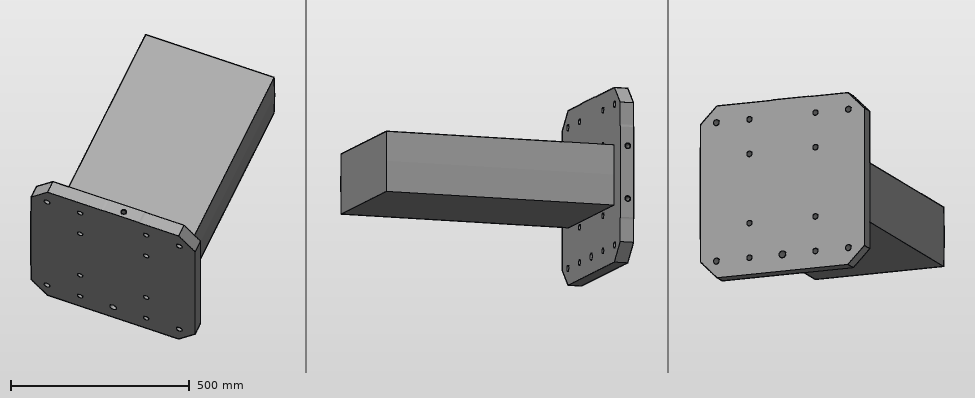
import cadquery as cq
import math

overall_length = 714.0
plate_size = 498.0
plate_thickness = 40.0
corner_chamfer = 50.0
pad_height = 1.0
edge_half = (plate_size - pad_height) / 2
pad_face = edge_half + pad_height

beam_width = 393.0
beam_height = 171.5
ridge_height = 1.8
beam_length = overall_length - plate_thickness

grid_pitch = 100.0
bolt_diameter = 17.0
inner_diameter = 16.0
center_diameter = 20.0

edge_hole_diameter = 13.5
countersink_diameter = 16.5
countersink_depth = (countersink_diameter - edge_hole_diameter) / 2
edge_hole_depth = 36.0
edge_hole_y = 18.0
top_hole_x = 25.0
side_hole_z = 75.0
pad_margin = 61.0
pad_fillet = 25.0
pad_root = 7.0
pad_ramp = math.sqrt(2 * pad_fillet * pad_height - pad_height**2)


def make_plate():
    blank = cq.Workplane("XY").box(2 * edge_half, plate_thickness, 2 * edge_half)
    return blank.translate((0, plate_thickness / 2, 0)).edges("|Y").chamfer(corner_chamfer)


def make_beam():
    flat_half = beam_width / 2 - ridge_height
    section = [
        (-flat_half, beam_height / 2),
        (flat_half, beam_height / 2),
        (beam_width / 2, 0),
        (flat_half, -beam_height / 2),
        (-flat_half, -beam_height / 2),
        (-beam_width / 2, 0),
    ]
    beam = cq.Workplane("XZ").polyline(section).close().extrude(-beam_length)
    return beam.translate((0, plate_thickness, 0))


def make_top_pad(center, half_length):
    """Raised pad with concave ends on the top edge of the plate."""
    root = edge_half - pad_root
    left = center - half_length
    right = center + half_length
    half_angle = math.asin(pad_ramp / pad_fillet) / 2
    mid_x = pad_fillet * math.sin(half_angle)
    mid_z = edge_half + pad_fillet * (1 - math.cos(half_angle))
    return (
        cq.Workplane("XZ")
        .moveTo(left, root)
        .lineTo(left, edge_half)
        .threePointArc((left + mid_x, mid_z), (left + pad_ramp, pad_face))
        .lineTo(right - pad_ramp, pad_face)
        .threePointArc((right - mid_x, mid_z), (right, edge_half))
        .lineTo(right, root)
        .close()
        .extrude(-plate_thickness)
    )


def turn_to_side(body):
    """Turn a top-edge feature about Y onto the -X edge."""
    return body.rotate((0, 0, 0), (0, 1, 0), -90)


def drill_plate(body, points, diameter):
    drills = cq.Workplane("XZ").pushPoints(points).circle(diameter / 2).extrude(-plate_thickness)
    return body.cut(drills)


def make_edge_drill(x):
    """Countersunk blind hole tool entering the top pad at the given X."""
    profile = [
        (0, 0),
        (countersink_diameter / 2, 0),
        (edge_hole_diameter / 2, -countersink_depth),
        (edge_hole_diameter / 2, -edge_hole_depth),
        (0, -edge_hole_depth),
    ]
    tool = cq.Workplane("XZ").polyline(profile).close().revolve(360, (0, 0, 0), (0, 1, 0))
    return tool.translate((x, edge_hole_y, pad_face))


result = make_plate().union(make_beam())
result = result.union(make_top_pad(top_hole_x, pad_margin))
result = result.union(turn_to_side(make_top_pad(0, side_hole_z + pad_margin)))

outer = 2 * grid_pitch
bolt_points = [(x, z) for x in (-outer, outer) for z in (-outer, outer)]
inner_points = [(x, z) for x in (-grid_pitch, grid_pitch) for z in (-outer, -grid_pitch, grid_pitch, outer)]
result = drill_plate(result, bolt_points, bolt_diameter)
result = drill_plate(result, inner_points, inner_diameter)
result = drill_plate(result, [(0, -outer)], center_diameter)

result = result.cut(make_edge_drill(top_hole_x))
for z in (-side_hole_z, side_hole_z):
    result = result.cut(turn_to_side(make_edge_drill(z)))